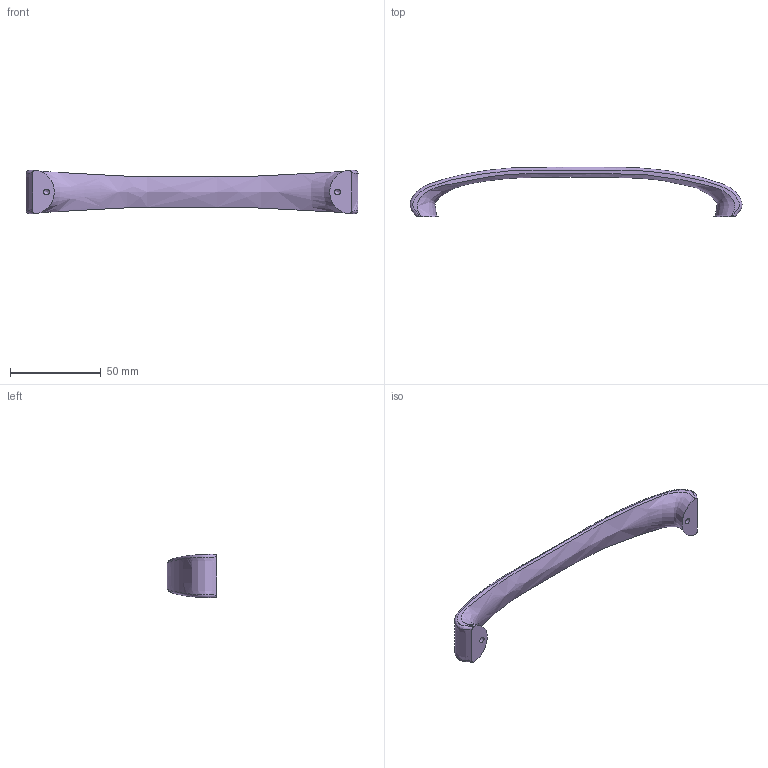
import cadquery as cq
import math


HALF_SECTIONS = [
    ((-87.8, 0.0), 0, 12.0, 2.2, 12.0),
    ((-89.9, 2.7), -2, 12.7, 3.2, 11.95),
    ((-91.395, 6.4), -4, 13.9, 4.0, 11.85),
    ((-87.9, 13.4), -27, 11.8, 3.8, 11.5),
    ((-79.7, 18.3), -39, 9.2, 3.6, 10.95),
    ((-68.7, 21.7), -60, 6.4, 3.6, 10.4),
    ((-52.0, 25.0), -75, 5.7, 3.6, 9.55),
    ((-34.0, 26.9), -83, 5.7, 3.5, 8.65),
    ((-16.0, 27.16), -89, 5.5, 3.4, 8.3),
    ((0.0, 27.16), -90, 5.4, 3.4, 8.3),
]
OUTER_EDGE_RADIUS = 1.5

HOLE_PITCH = 160.0
HOLE_DIAMETER = 3.3
HOLE_DEPTH = 10.0
DRILL_POINT_ANGLE = 118.0


def mirrored_section(section):
    """Reflect a cross-section in the plane X = 0."""
    (x, y), angle, depth, band, half_height = section
    return (-x, y), 180 - angle, depth, band, half_height


def section_wire(section):
    """Closed wire of one cross-section; local X points inward."""
    (x, y), angle, depth, band, half_height = section
    inward = cq.Vector(math.cos(math.radians(angle)), math.sin(math.radians(angle)), 0)
    up = cq.Vector(0, 0, 1)
    plane = cq.Plane(origin=(x, y, 0), xDir=inward, normal=inward.cross(up))
    return (
        cq.Workplane(plane)
        .moveTo(0, -half_height)
        .lineTo(0, half_height)
        .lineTo(band, half_height)
        .threePointArc((depth, 0), (band, -half_height))
        .close()
        .wire()
        .val()
    )


def handle_body():
    """Smooth loft from foot to foot with its outer edges rounded."""
    other_half = [mirrored_section(section) for section in reversed(HALF_SECTIONS[:-1])]
    wires = [section_wire(section) for section in HALF_SECTIONS + other_half]
    loft = cq.Workplane(cq.Solid.makeLoft(wires))
    return loft.edges(">Y").fillet(OUTER_EDGE_RADIUS)


def screw_hole(x):
    """Drilled blind hole with a conical end, entering a foot along +Y."""
    radius = HOLE_DIAMETER / 2
    point_length = radius / math.tan(math.radians(DRILL_POINT_ANGLE / 2))
    return (
        cq.Workplane("XY")
        .lineTo(radius, 0)
        .lineTo(radius, HOLE_DEPTH)
        .lineTo(0, HOLE_DEPTH + point_length)
        .close()
        .revolve(360, (0, 0), (0, 1))
        .translate((x, 0, 0))
    )


result = handle_body()
for side in (-1, 1):
    result = result.cut(screw_hole(side * HOLE_PITCH / 2))